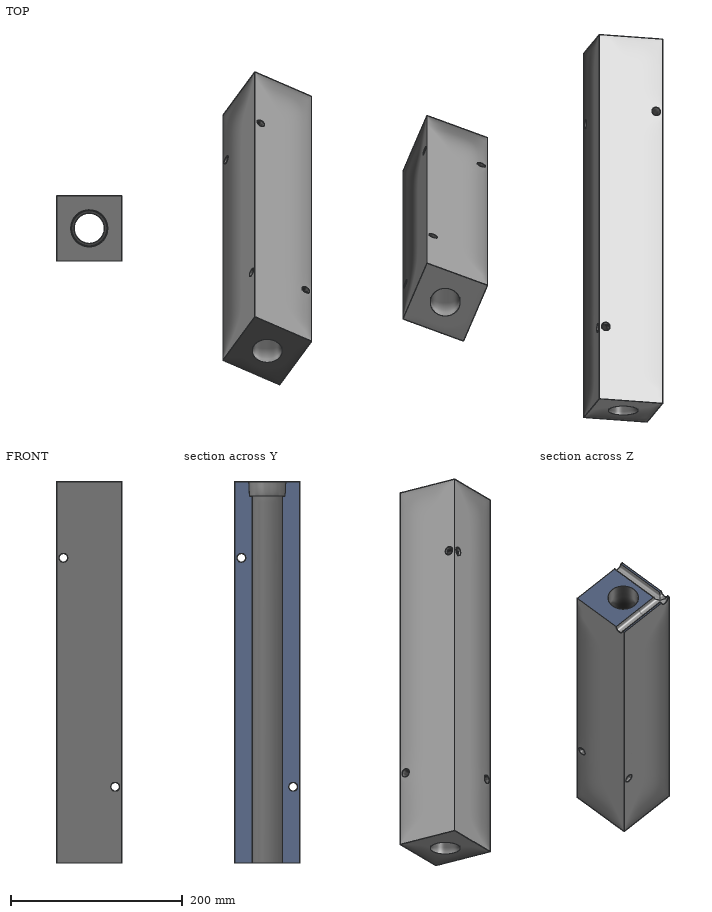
import cadquery as cq

INCH = 25.4

side = 3.0 * INCH
height = 17.5 * INCH
edge_chamfer = 0.01 * INCH

bore_diameter = 1.375 * INCH
socket_mouth_diameter = 42.8
socket_floor_diameter = 41.0
socket_depth = 17.0

cross_hole_diameter = 9.8
cross_hole_edge_distance = 5 / 16 * INCH
cross_hole_end_distance = 3.5 * INCH

cross_hole_offset = side / 2 - cross_hole_edge_distance
cross_hole_level = height / 2 - cross_hole_end_distance


def make_bar():
    """Square bar with every outer edge lightly broken."""
    return cq.Workplane("XY").box(side, side, height).edges().chamfer(edge_chamfer)


def cut_bore(body):
    """Cut the through bore and the tapered socket, then break the socket's mouth."""
    bore = cq.Workplane("XY").circle(bore_diameter / 2).extrude(height / 2, both=True)
    socket = (
        cq.Workplane("XY", origin=(0, 0, height / 2 - socket_depth))
        .circle(socket_floor_diameter / 2)
        .workplane(offset=socket_depth)
        .circle(socket_mouth_diameter / 2)
        .loft(ruled=True)
    )
    body = body.cut(bore).cut(socket)
    return body.faces(">Z").edges("%CIRCLE").chamfer(edge_chamfer)


def cut_cross_holes(body):
    """Drill the holes along Y (near the X edges) and along X (near the Y edges), with broken rims."""
    for end in (1, -1):
        for plane, across in (("XZ", -end), ("YZ", end)):
            hole = (
                cq.Workplane(plane)
                .center(across * cross_hole_offset, end * cross_hole_level)
                .circle(cross_hole_diameter / 2)
                .extrude(side / 2, both=True)
            )
            body = body.cut(hole)
    for side_face in ("<X", ">X", "<Y", ">Y"):
        body = body.faces(side_face).edges("%CIRCLE").chamfer(edge_chamfer)
    return body


result = cut_cross_holes(cut_bore(make_bar()))